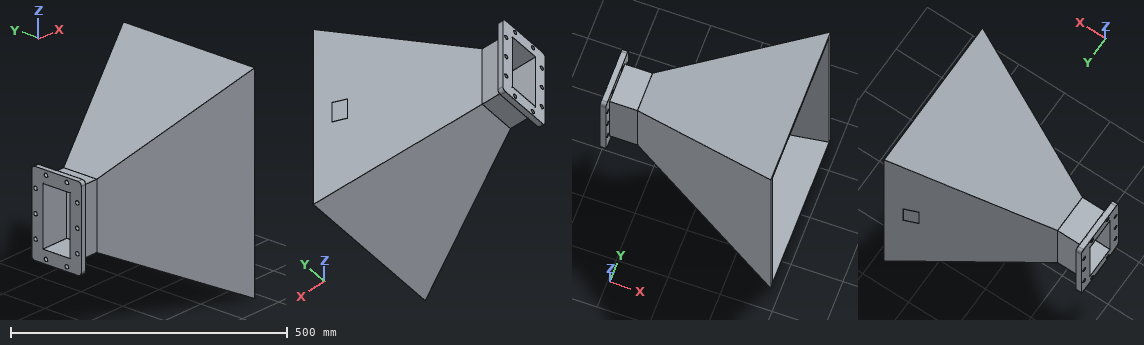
import cadquery as cq
import math

length = 365.0
mouth_y = 316.0
mouth_z = 456.0

bore_y = 64.8
bore_z = 129.5
wall = 7.8
neck_y = bore_y + 2 * wall
neck_z = bore_z + 2 * wall
neck_end = 65.0

flange_thickness = 12.0
flange_y = 119.5
flange_z = 186.0
corner_radius = 7.8
hole_diameter = 8.0
hole_pitch = 50.0
side_row_y = 50.0
end_row_z = 83.0

plate_height = 50.0
plate_width = 29.0
plate_thickness = 0.5
plate_center_y = 139.5


def block(x_start, x_end, size_y, size_z):
    """Rectangular bar along the horn axis."""
    return cq.Workplane("YZ", origin=(x_start, 0, 0)).rect(size_y, size_z).extrude(x_end - x_start)


def flare(start_y, start_z, end_y, end_z):
    """Rectangular pyramid frustum from the neck to the mouth."""
    return (
        cq.Workplane("YZ", origin=(neck_end, 0, 0))
        .rect(start_y, start_z)
        .workplane(offset=length - neck_end)
        .rect(end_y, end_z)
        .loft(ruled=True)
    )


def make_flange():
    side_holes = [(y, row * hole_pitch) for y in (-side_row_y, side_row_y) for row in (-1, 0, 1)]
    end_holes = [(side * hole_pitch / 2, z) for z in (-end_row_z, end_row_z) for side in (-1, 1)]
    plate = block(0, flange_thickness, flange_y, flange_z).edges("|X").fillet(corner_radius)
    holes = (
        cq.Workplane("YZ")
        .pushPoints(side_holes + end_holes)
        .circle(hole_diameter / 2)
        .extrude(flange_thickness)
    )
    return plate.cut(holes)


def make_wall_plate():
    """Plate lying on the sloping +Y wall, sunk slightly so that it fuses with it."""
    rise = (mouth_y - neck_y) / 2
    run = length - neck_end
    slope = math.atan2(rise, run)
    center_x = neck_end + (plate_center_y - neck_y / 2) * run / rise
    return (
        cq.Workplane("XY")
        .box(plate_width, 2 * plate_thickness, plate_height)
        .rotate((0, 0, 0), (0, 0, 1), math.degrees(slope))
        .translate((center_x, plate_center_y, 0))
    )


outside = (
    make_flange()
    .union(block(flange_thickness, neck_end, neck_y, neck_z))
    .union(flare(neck_y, neck_z, mouth_y, mouth_z))
    .union(make_wall_plate())
)
bore = block(0, neck_end, bore_y, bore_z)
flare_cavity = flare(bore_y, bore_z, mouth_y - 2 * wall, mouth_z - 2 * wall)

result = outside.cut(bore).cut(flare_cavity)